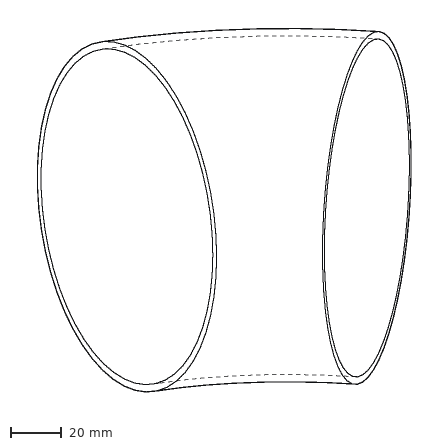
import cadquery as cq
import math

bend_angle = 45.0
overall_length = 155.8
overall_depth = 137.8
wall = 3.0

angle = math.radians(bend_angle)
outside_bend_radius = overall_depth / math.sin(angle)
inside_bend_radius = (outside_bend_radius - overall_length) / math.cos(angle)

bend_radius = (outside_bend_radius + inside_bend_radius) / 2
pipe_radius = (outside_bend_radius - inside_bend_radius) / 2
bore_radius = pipe_radius - wall

pipe_section = cq.Workplane("XZ").circle(pipe_radius).circle(bore_radius)

axis_start = (bend_radius, 0)
axis_end = (bend_radius, -1)
result = pipe_section.revolve(bend_angle, axis_start, axis_end)